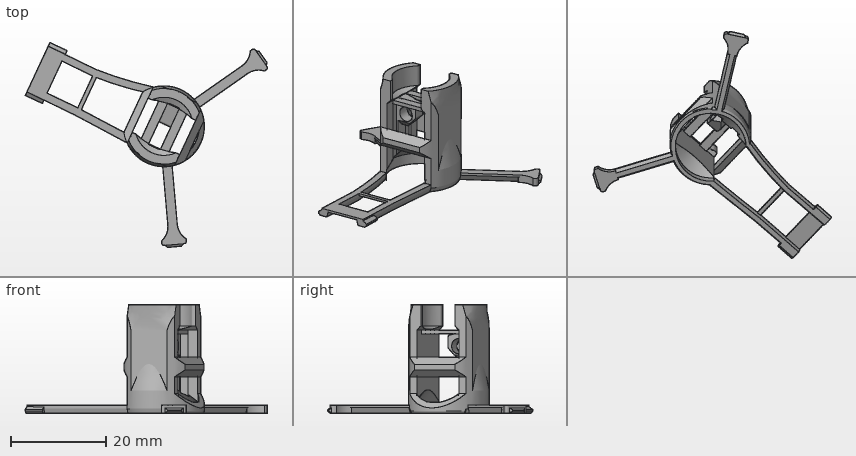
import cadquery as cq
import math

ARM_HEADING = 155.0
FOOT_ANGLES = (-120.0, 120.0)

BODY_HEIGHT = 22.8
BODY_RADIUS = 8.5
BODY_HALF_WIDTH = 5.5
SHELL_FLAT = 7.4
FLAT_BOTTOM = 4.76
BLEND_TOP = 10.27
CROWN_BOTTOM = 17.45
CROWN_RADIUS = 7.95
BASE_CHAMFER_WIDTH = 0.3
BASE_CHAMFER_HEIGHT = 0.93
SKIRT_CHAMFER_WIDTH = 0.15
SKIRT_CHAMFER_HEIGHT = 0.45

CAVITY_RADIUS = 7.4
CAVITY_HALF_WIDTH = 4.85
BORE_TOP = 2.4
CROWN_BORE_RADIUS = 6.1
CROWN_SLOT_HALF_WIDTH = 3.95
CROWN_LIP_FILLET = 0.5
CROWN_LEDGE_FOOT = 0.2
CROWN_LEDGE_TOP = 0.88
SKIRT_TOP = 4.15

BAND_BOTTOM = 7.65
BAND_TOP = 11.8
BAND_FACE_BOTTOM = 9.1
BAND_FACE_TOP = 10.3
BAND_REACH = 7.1

BAR_INNER = 1.35
BAR_OUTER = 3.25
BAR_THICKNESS = 0.8
POCKET_DEPTH = 0.5
LUG_HALF_WIDTH = BAR_INNER
LUG_TIP = -0.4
LUG_TIP_BOTTOM = 13.7
LUG_TIP_TOP = 16.35
LUG_TIP_FILLET = 0.5
LUG_SIDE_BOTTOM = 12.26
LUG_HOLE_DIAMETER = 3.2
LUG_HOLE_Y = -2.85
LUG_HOLE_Z = 14.1

ARM_THICKNESS = 1.7
WEB_THICKNESS = 0.5
ARM_END = 29.12
ARM_BEND = 18.0
PLATE_INNER = 25.15
CROSSBAR_INNER = 17.15
CROSSBAR_OUTER = 18.05
RAIL_TAPER = 0.3
HOOK_REACH = 0.85
HOOK_LENGTH = 4.0
HOOK_SHOULDER = 1.4
HOOK_FACE_TOP = 0.8
HOOK_FACE_BOTTOM = 0.45

FOOT_WIDTH = 2.03
FOOT_END = 24.9
FOOT_FLARE_START = 20.6
FOOT_PAD_HALF_WIDTH = 2.6
FOOT_CORNER_RADIUS = 0.5
FOOT_TAPER = 0.5
LIP_REACH = 0.5
LIP_MIDDLE = 0.6
LIP_BASE_SIZE = (3.9, 1.0)
LIP_EDGE_SIZE = (2.9, 0.3)


def box(x0, x1, y0, y1, z0, z1):
    return cq.Workplane("XY").box(x1 - x0, y1 - y0, z1 - z0, centered=False).translate((x0, y0, z0))


def disc(radius, z0, z1):
    return cq.Workplane("XY").workplane(offset=z0).circle(radius).extrude(z1 - z0)


def cone(bottom_radius, top_radius, z0, z1):
    solid = cq.Solid.makeCone(bottom_radius, top_radius, z1 - z0, pnt=cq.Vector(0, 0, z0))
    return cq.Workplane(solid)


def prism_along_x(yz_points, x0, x1):
    return cq.Workplane("YZ").workplane(offset=x0).polyline(yz_points).close().extrude(x1 - x0)


def prism_along_y(xz_points, half_length):
    return cq.Workplane("XZ").polyline(xz_points).close().extrude(half_length, both=True)


def ruled_solid(lower_wire, upper_wire):
    return cq.Workplane(cq.Solid.makeLoft([lower_wire, upper_wire], True))


def round_base(chamfer_width, chamfer_height):
    chamfer = cone(BODY_RADIUS - chamfer_width, BODY_RADIUS, 0, chamfer_height)
    return chamfer.union(disc(BODY_RADIUS, chamfer_height, FLAT_BOTTOM))


def shell_column():
    """Round column with a flat on each shell, a cone blending into it, and the bands."""
    column = disc(BODY_RADIUS, FLAT_BOTTOM, CROWN_BOTTOM)
    column = column.intersect(
        box(-BODY_RADIUS, BODY_RADIUS, -SHELL_FLAT, SHELL_FLAT, FLAT_BOTTOM, CROWN_BOTTOM)
    )
    blend = cone(BODY_RADIUS, SHELL_FLAT, FLAT_BOTTOM, BLEND_TOP)
    sides = box(
        -BODY_HALF_WIDTH, BODY_HALF_WIDTH, -BODY_RADIUS, BODY_RADIUS, 0, CROWN_BOTTOM
    )
    base = round_base(BASE_CHAMFER_WIDTH, BASE_CHAMFER_HEIGHT)
    outline = sides.union(band(1)).union(band(-1))
    return base.union(column).union(blend).intersect(outline)


def crown():
    """Top section: its outer faces run from the flats to an arc at the rim."""
    half = BODY_HALF_WIDTH
    rim = math.sqrt(CROWN_RADIUS**2 - half**2)
    lower = (
        cq.Workplane("XY", origin=(0, 0, CROWN_BOTTOM))
        .moveTo(-half, -SHELL_FLAT)
        .lineTo(half, -SHELL_FLAT)
        .lineTo(half, SHELL_FLAT)
        .lineTo(-half, SHELL_FLAT)
        .close()
        .val()
    )
    upper = (
        cq.Workplane("XY", origin=(0, 0, BODY_HEIGHT))
        .moveTo(-half, -rim)
        .threePointArc((0, -CROWN_RADIUS), (half, -rim))
        .lineTo(half, rim)
        .threePointArc((0, CROWN_RADIUS), (-half, rim))
        .close()
        .val()
    )
    return ruled_solid(lower, upper).intersect(disc(BODY_RADIUS, CROWN_BOTTOM, BODY_HEIGHT))


def crown_opening():
    """Slot and bore through the crown, with a conical ledge down to the cavity."""
    ledge_foot = CROWN_BOTTOM + CROWN_LEDGE_FOOT
    ledge_top = CROWN_BOTTOM + CROWN_LEDGE_TOP
    height = BODY_HEIGHT - ledge_top
    slot = box(
        -BODY_RADIUS, BODY_RADIUS, -CROWN_SLOT_HALF_WIDTH, CROWN_SLOT_HALF_WIDTH, ledge_top, BODY_HEIGHT
    )
    meeting_x = math.sqrt(CROWN_BORE_RADIUS**2 - CROWN_SLOT_HALF_WIDTH**2)
    opening = slot.union(disc(CROWN_BORE_RADIUS, ledge_top, BODY_HEIGHT))
    lips = cq.selectors.BoxSelector(
        (-meeting_x - 0.1, -BODY_RADIUS, ledge_top + height / 3),
        (meeting_x + 0.1, BODY_RADIUS, BODY_HEIGHT - height / 3),
    )
    opening = opening.edges("|Z").edges(lips).fillet(CROWN_LIP_FILLET)
    funnel = prism_along_x(
        [
            (-CAVITY_HALF_WIDTH, CROWN_BOTTOM),
            (CAVITY_HALF_WIDTH, CROWN_BOTTOM),
            (CROWN_SLOT_HALF_WIDTH, ledge_top),
            (-CROWN_SLOT_HALF_WIDTH, ledge_top),
        ],
        -BODY_RADIUS,
        BODY_RADIUS,
    )
    ledge = cone(CAVITY_HALF_WIDTH, CROWN_BORE_RADIUS, ledge_foot, ledge_top)
    return opening.union(funnel).union(ledge)


def skirt():
    """Low wall closing the foot of the opening opposite the arm."""
    run = BODY_RADIUS - BODY_HALF_WIDTH
    profile = [
        (-BODY_HALF_WIDTH, 0),
        (-BODY_HALF_WIDTH, SKIRT_TOP),
        (-BODY_HALF_WIDTH - run, SKIRT_TOP - run),
        (-BODY_HALF_WIDTH - run, 0),
    ]
    base = round_base(SKIRT_CHAMFER_WIDTH, SKIRT_CHAMFER_HEIGHT)
    return base.intersect(prism_along_y(profile, BODY_RADIUS))


def cavity():
    width = CAVITY_HALF_WIDTH
    lower = disc(CAVITY_RADIUS, 0, SKIRT_TOP).intersect(
        box(-CAVITY_RADIUS, CAVITY_RADIUS, -width, width, 0, SKIRT_TOP)
    )
    upper = box(-BODY_HALF_WIDTH, BODY_HALF_WIDTH, -width, width, 0, CROWN_BOTTOM)
    roof = cone(CAVITY_RADIUS, 0, BORE_TOP, BORE_TOP + CAVITY_RADIUS)
    return lower.union(upper).union(disc(CAVITY_RADIUS, 0, BORE_TOP)).union(roof)


def wall_pockets():
    """Shallow pockets in the -Y shell, one on each side of the lug."""
    back = -CAVITY_HALF_WIDTH - POCKET_DEPTH
    top = CROWN_BOTTOM - BAR_THICKNESS
    right = box(BAR_INNER, BAR_OUTER, back, -CAVITY_HALF_WIDTH, BORE_TOP, top)
    return right.union(right.mirror("YZ"))


def band(side):
    """Band with sloped edges across the +X (side 1) or -X (side -1) opening."""
    profile = [
        (side * BODY_HALF_WIDTH, BAND_BOTTOM),
        (side * BAND_REACH, BAND_FACE_BOTTOM),
        (side * BAND_REACH, BAND_FACE_TOP),
        (side * BODY_HALF_WIDTH, BAND_TOP),
    ]
    return prism_along_y(profile, BODY_RADIUS)


def cross_bars():
    reach = CAVITY_HALF_WIDTH + POCKET_DEPTH
    bar = box(BAR_INNER, BAR_OUTER, -reach, reach, CROWN_BOTTOM - BAR_THICKNESS, CROWN_BOTTOM)
    return bar.union(bar.mirror("YZ"))


def lug():
    root = -CAVITY_HALF_WIDTH - POCKET_DEPTH
    profile = [
        (root, LUG_TIP_BOTTOM + root - LUG_TIP),
        (LUG_TIP, LUG_TIP_BOTTOM),
        (LUG_TIP, LUG_TIP_TOP),
        (-CAVITY_HALF_WIDTH, CROWN_BOTTOM),
        (root, CROWN_BOTTOM),
    ]
    block = prism_along_x(profile, -LUG_HALF_WIDTH, LUG_HALF_WIDTH)
    block = block.faces(">Y").edges("|X").fillet(LUG_TIP_FILLET)
    keel = prism_along_y(
        [
            (-LUG_HALF_WIDTH, CROWN_BOTTOM),
            (-LUG_HALF_WIDTH, LUG_SIDE_BOTTOM),
            (0, LUG_SIDE_BOTTOM - LUG_HALF_WIDTH),
            (LUG_HALF_WIDTH, LUG_SIDE_BOTTOM),
            (LUG_HALF_WIDTH, CROWN_BOTTOM),
        ],
        BODY_RADIUS,
    )
    hole = (
        cq.Workplane("YZ", origin=(-LUG_HALF_WIDTH, LUG_HOLE_Y, LUG_HOLE_Z))
        .circle(LUG_HOLE_DIAMETER / 2)
        .extrude(2 * LUG_HALF_WIDTH)
    )
    return block.intersect(keel).cut(hole)


def rail_wire(outer, inner, inset, z):
    """Rail outline; outer and inner list Y at the body, mid bend, bend and end."""
    side = math.copysign(inset, outer[0])
    stations = (BODY_HALF_WIDTH, (BODY_HALF_WIDTH + ARM_BEND) / 2, ARM_BEND, ARM_END)
    out = [(x, y - side) for x, y in zip(stations, outer)]
    inn = [(x, y + side) for x, y in zip(stations, inner)]
    return (
        cq.Workplane("XY", origin=(0, 0, z))
        .moveTo(*out[0])
        .threePointArc(out[1], out[2])
        .lineTo(*out[3])
        .lineTo(*inn[3])
        .lineTo(*inn[2])
        .threePointArc(inn[1], inn[0])
        .close()
        .val()
    )


def rail(outer, inner):
    foot = rail_wire(outer, inner, RAIL_TAPER, 0)
    middle = rail_wire(outer, inner, 0, BASE_CHAMFER_HEIGHT)
    top = rail_wire(outer, inner, 0, ARM_THICKNESS)
    return ruled_solid(foot, middle).union(ruled_solid(middle, top))


def hook(edge_y):
    """Catch along the outside of a rail end; edge_y is the rail's outer edge."""
    side = math.copysign(1, edge_y)
    tip = edge_y + side * HOOK_REACH
    profile = [
        (edge_y - side, 0),
        (tip - side * HOOK_FACE_BOTTOM, 0),
        (tip, HOOK_FACE_BOTTOM),
        (tip, HOOK_FACE_TOP),
        (edge_y, HOOK_SHOULDER),
        (edge_y - side, HOOK_SHOULDER),
    ]
    return prism_along_x(profile, ARM_END - HOOK_LENGTH, ARM_END)


def long_arm():
    near_outer = (-6.55, -5.42, -4.8, -4.98)
    near_inner = (-5.0, -3.82, -3.22, -3.42)
    far_outer = (6.45, 6.1, 5.77, 5.6)
    far_inner = (4.7, 4.45, 4.1, 4.0)
    webs_y = (near_outer[3] + 0.5, far_outer[3] - 0.5)
    web_z = (ARM_THICKNESS - WEB_THICKNESS, ARM_THICKNESS)
    plate = box(PLATE_INNER, ARM_END, *webs_y, *web_z)
    crossbar = box(CROSSBAR_INNER, CROSSBAR_OUTER, *webs_y, *web_z)
    arm = rail(near_outer, near_inner).union(rail(far_outer, far_inner))
    return arm.union(plate).union(crossbar).union(hook(near_outer[3])).union(hook(far_outer[3]))


def foot():
    half = FOOT_WIDTH / 2
    start = CAVITY_RADIUS + 0.4
    pad = FOOT_PAD_HALF_WIDTH
    neck_z = ARM_THICKNESS - WEB_THICKNESS
    pad_start = FOOT_END - 1.0
    bar_profile = [
        (-half + FOOT_TAPER, 0),
        (half - FOOT_TAPER, 0),
        (half, neck_z),
        (half, ARM_THICKNESS),
        (-half, ARM_THICKNESS),
        (-half, neck_z),
    ]
    bar = prism_along_x(bar_profile, start, pad_start)
    flare_mid = ((FOOT_FLARE_START + pad_start) / 2 + 0.3, (half + pad) / 2 - 0.35)
    flare = (
        cq.Workplane("XY")
        .moveTo(FOOT_FLARE_START, -half)
        .threePointArc((flare_mid[0], -flare_mid[1]), (pad_start, -pad))
        .lineTo(FOOT_END, -pad)
        .lineTo(FOOT_END, pad)
        .lineTo(pad_start, pad)
        .threePointArc(flare_mid, (FOOT_FLARE_START, half))
        .close()
        .extrude(ARM_THICKNESS)
        .edges("|Z and >X")
        .fillet(FOOT_CORNER_RADIUS)
    )
    return bar.union(flare).union(foot_lip())


def foot_lip():
    """Tapered catch on the end of a foot."""
    base = cq.Workplane("YZ", origin=(FOOT_END, 0, LIP_MIDDLE)).rect(*LIP_BASE_SIZE).val()
    edge = cq.Workplane("YZ", origin=(FOOT_END + LIP_REACH, 0, LIP_MIDDLE)).rect(*LIP_EDGE_SIZE).val()
    return ruled_solid(base, edge)


body = shell_column().union(crown()).union(skirt())
body = body.cut(cavity()).cut(wall_pockets()).cut(crown_opening())
body = body.union(cross_bars()).union(lug())

part = body.union(long_arm())
for angle in FOOT_ANGLES:
    part = part.union(foot().rotate((0, 0, 0), (0, 0, 1), angle))

result = part.rotate((0, 0, 0), (0, 0, 1), ARM_HEADING)